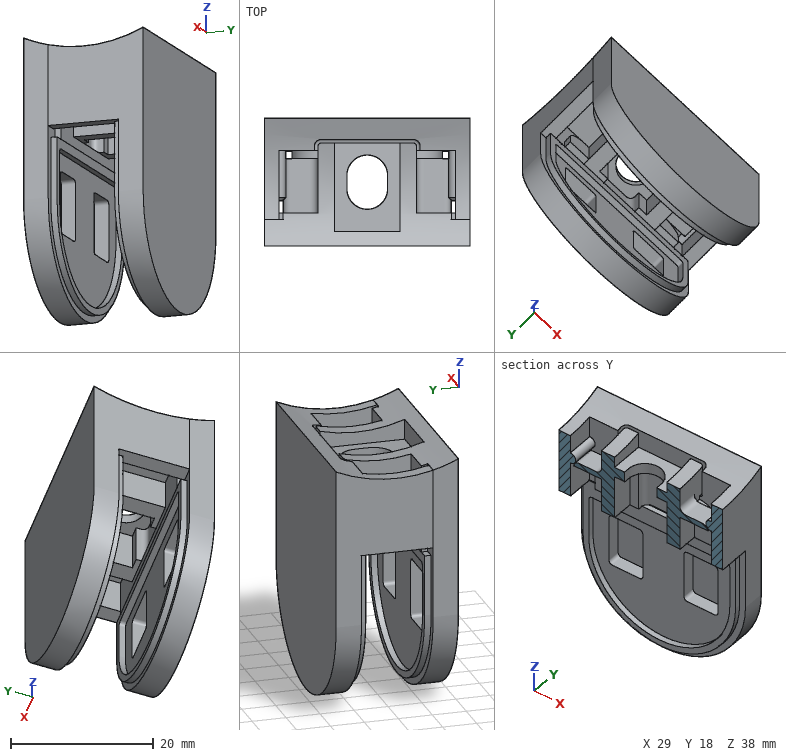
import cadquery as cq
import math

width = 29.0
depth = 18.0
height = 38.0
outer_radius = width / 2
half_depth = depth / 2

saddle_radius = 21.65
saddle_axis_z = height + math.sqrt(saddle_radius**2 - half_depth**2)

jaw_thickness = 3.72
jaw_face = half_depth - jaw_thickness
bridge_bottom = 24.97

opening_half_width = 12.43
opening_back = 4.5

block_half_width = 6.95
block_back = 5.55
block_corner_radius = 0.57
flare_half_width = 7.45
flare_back = 6.0
flare_corner_radius = 0.95
flare_floor = 31.75
flare_fillet = 0.45

seat_half_width = 4.6
seat_front = -6.9
seat_floor = 34.2
slot_length = 7.6
slot_width = 5.7
slot_floor_thickness = 1.82
cavity_half_depth = 3.55
cavity_bay_half_width = 3.05
cavity_bay_half_depth = 5.17
cavity_bay_corner_radius = 0.87

step_half_width = 11.85
step_bottom = 23.5

arm_top = 31.78
arm_back = 3.3
arm_edge_radius = 1.0
arm_root_radius = 1.05

catch_radius = 0.95
catch_axis_z = 31.95
catch_front = -2.62
catch_chamfer = 0.45

ledge_outer_x = 10.6
ledge_top = 31.15
ledge_radius = ledge_outer_x - block_half_width

gasket_thickness = 0.95
gasket_margin = 1.03
gasket_half_width = outer_radius - gasket_margin
gasket_window_half_width = 12.45
gasket_window_top = 22.1
gasket_window_corner = 0.57
gasket_face = jaw_face - gasket_thickness
step_face = -gasket_face

pocket_inner_x = 3.65
pocket_outer_x = 9.6
pocket_bottom = 10.53
pocket_top = 19.5
pocket_depth = 2.13
pocket_corner_radius = 0.57


def box(x0, x1, y0, y1, z0, z1):
    """Box between two opposite corners."""
    return cq.Workplane("XY").box(x1 - x0, y1 - y0, z1 - z0, centered=False).translate((x0, y0, z0))


def xz_extrude(sketch, y0, y1):
    """Extrude a closed XZ outline drawn at Y = 0 so that it spans y0 to y1."""
    return sketch.extrude(y0 - y1).translate((0, y0, 0))


def shield(half_width, top, y0, y1):
    """Plate with a flat top and a semicircular bottom around the centre of the jaw."""
    outline = (
        cq.Workplane("XZ")
        .moveTo(-half_width, top)
        .lineTo(-half_width, outer_radius)
        .threePointArc((0, outer_radius - half_width), (half_width, outer_radius))
        .lineTo(half_width, top)
        .close()
    )
    return xz_extrude(outline, y0, y1)


def both_sides(left):
    """The left-hand shape together with its mirror image in the YZ plane."""
    return left.union(left.mirror("YZ"))


def saddle():
    """Cylinder that hollows out the top."""
    return (
        cq.Workplane("YZ")
        .center(0, saddle_axis_z)
        .circle(saddle_radius)
        .extrude(outer_radius, both=True)
    )


def jaw_pockets(y0, y1):
    """Pair of pockets with rounded corners, spanning y0 to y1."""
    left = box(-pocket_outer_x, -pocket_inner_x, y0, y1, pocket_bottom, pocket_top)
    return both_sides(left.edges("|Y").fillet(pocket_corner_radius))


def block_prism(half_width, back, corner_radius, bottom):
    """Prism from the cover plate to the given back, with rounded rear corners."""
    prism = box(-half_width, half_width, -jaw_face, back, bottom, height)
    return prism.edges("|Z and >Y").fillet(corner_radius)


def catches():
    left = (
        cq.Workplane("XZ")
        .center(-opening_half_width, catch_axis_z)
        .circle(catch_radius)
        .extrude(catch_front - opening_back)
        .translate((0, catch_front, 0))
        .faces("<Y")
        .chamfer(catch_chamfer)
    )
    return both_sides(left)


def ledges():
    diagonal = ledge_radius * math.sqrt(0.5)
    axis_z = ledge_top - ledge_radius
    outline = (
        cq.Workplane("XZ")
        .moveTo(-block_half_width, ledge_top)
        .threePointArc((-block_half_width - diagonal, axis_z + diagonal), (-ledge_outer_x, axis_z))
        .lineTo(-ledge_outer_x, bridge_bottom)
        .lineTo(-block_half_width, bridge_bottom)
        .close()
    )
    return both_sides(xz_extrude(outline, arm_back, opening_back))


def make_housing():
    body = shield(outer_radius, height, jaw_face, half_depth)
    body = body.union(box(-outer_radius, outer_radius, -jaw_face, jaw_face, bridge_bottom, height))
    body = body.cut(
        box(-opening_half_width, opening_half_width, -jaw_face, opening_back, bridge_bottom, height)
    )
    body = body.union(catches()).union(ledges())
    body = body.cut(block_prism(block_half_width, block_back, block_corner_radius, bridge_bottom))
    flare = block_prism(flare_half_width, flare_back, flare_corner_radius, flare_floor)
    flare = flare.intersect(
        box(-flare_half_width, flare_half_width, arm_back, flare_back, flare_floor, height)
    )
    flare = flare.edges("<Z and (not <Y)").fillet(flare_fillet)
    body = body.cut(flare)
    body = body.cut(jaw_pockets(jaw_face, jaw_face + pocket_depth))
    return body.cut(saddle())


def snap_arms():
    edge_x = -step_half_width
    root_x = -block_half_width
    arm_bottom = arm_top - arm_edge_radius
    outline = (
        cq.Workplane("XZ")
        .moveTo(edge_x, arm_bottom)
        .radiusArc((edge_x + arm_edge_radius, arm_top), arm_edge_radius)
        .lineTo(root_x - arm_root_radius, arm_top)
        .radiusArc((root_x, arm_top + arm_root_radius), -arm_root_radius)
        .lineTo(root_x, arm_bottom)
        .close()
    )
    return both_sides(xz_extrude(outline, step_face, arm_back))


def screw_seat():
    """Seat recess, slot through its floor and cross-shaped cavity below the floor."""
    recess = box(-seat_half_width, seat_half_width, seat_front, block_back, seat_floor, height)
    slot = (
        cq.Workplane("XY", origin=(0, 0, bridge_bottom))
        .slot2D(slot_length, slot_width, 90)
        .extrude(seat_floor - bridge_bottom)
    )
    cavity_top = seat_floor - slot_floor_thickness
    cavity = box(
        -seat_half_width,
        seat_half_width,
        -cavity_half_depth,
        cavity_half_depth,
        bridge_bottom,
        cavity_top,
    )
    bays = box(
        -cavity_bay_half_width,
        cavity_bay_half_width,
        -cavity_bay_half_depth,
        cavity_bay_half_depth,
        bridge_bottom,
        cavity_top,
    )
    bays = bays.edges("|Z").fillet(cavity_bay_corner_radius)
    return recess.union(slot).union(cavity).union(bays)


def make_cover():
    plate = shield(outer_radius, height, -half_depth, -jaw_face)
    step = box(-step_half_width, step_half_width, -jaw_face, step_face, step_bottom, height)
    block = block_prism(block_half_width, block_back, block_corner_radius, bridge_bottom)
    body = plate.union(step).union(block).union(snap_arms())
    body = body.cut(screw_seat())
    body = body.cut(jaw_pockets(-jaw_face - pocket_depth, -jaw_face))
    return body.cut(saddle())


def make_gasket(top, y0):
    """Frame lying on a jaw face, with a window of the same shape."""
    y1 = y0 + gasket_thickness
    window = shield(gasket_window_half_width, gasket_window_top, y0, y1)
    window = window.edges("|Y and >Z").fillet(gasket_window_corner)
    return shield(gasket_half_width, top, y0, y1).cut(window)


housing = make_housing()
cover = make_cover()
gaskets = [
    make_gasket(top, y0)
    for top, y0 in ((bridge_bottom, gasket_face), (step_bottom, -jaw_face))
]

result = cq.Compound.makeCompound([housing.val(), cover.val(), *[gasket.val() for gasket in gaskets]])